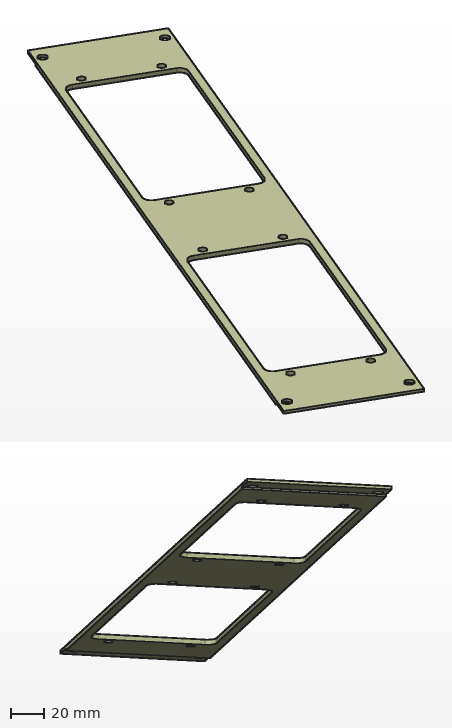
import cadquery as cq

panel_length = 482.5
panel_width = 89.0
panel_thickness = 3.2
flange_length = 14.5
flange_thickness = 2.0

window_offset = 114.5
window_length = 154.5
window_width = 77.0
window_corner_radius = 6.0

fixing_diameter = 5.5
fixing_spacing_x = 165.5
fixing_spacing_y = 50.5

mounting_diameter = 6.5
mounting_spacing_x = 461.0
mounting_spacing_y = 77.0


def make_panel():
    """Full-length top layer with a shorter layer below it, leaving the flanges."""
    body_length = panel_length - 2 * flange_length
    step_height = panel_thickness - flange_thickness
    top_layer = (
        cq.Workplane("XY", origin=(0, 0, step_height))
        .rect(panel_length, panel_width)
        .extrude(flange_thickness)
    )
    body = cq.Workplane("XY").rect(body_length, panel_width).extrude(panel_thickness)
    return top_layer.union(body)


def make_window(center_x):
    """Cutter for one rounded window."""
    return (
        cq.Workplane("XY")
        .center(center_x, 0)
        .rect(window_length, window_width)
        .extrude(panel_thickness)
        .edges("|Z")
        .fillet(window_corner_radius)
    )


def make_hole_group(center_x, spacing_x, spacing_y, diameter):
    """Cutter for four through holes at the corners of a rectangle."""
    return (
        cq.Workplane("XY")
        .center(center_x, 0)
        .rect(spacing_x, spacing_y, forConstruction=True)
        .vertices()
        .circle(diameter / 2)
        .extrude(panel_thickness)
    )


result = make_panel()
for window_x in (-window_offset, window_offset):
    result = result.cut(make_window(window_x))
    result = result.cut(make_hole_group(window_x, fixing_spacing_x, fixing_spacing_y, fixing_diameter))
result = result.cut(make_hole_group(0, mounting_spacing_x, mounting_spacing_y, mounting_diameter))